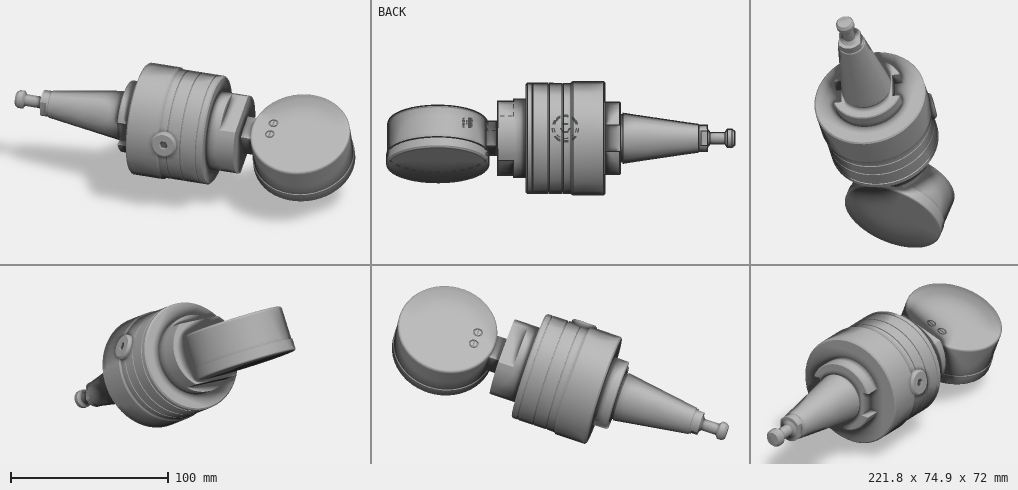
import cadquery as cq
import math


OVERALL_LENGTH = 221.8

STUD_END_X = 22.8
FLANGE_X = 73.0
HOUSING_X = 82.7
NOSE_X = 133
NOSE_END_X = 151.0
STEM_X = 152.0
GAUGE_X = 189.2

STUD_HEAD_RADIUS = 5.8
STUD_TIP_RADIUS = 4.5
STUD_HEAD_BEVEL = 1.8
STUD_HEAD_SHOULDER_X = 4.9
STUD_NECK_X = 6.2
STUD_NECK_RADIUS = 3.8
STUD_FLARE_X = 16.0
STUD_FLARE_RADIUS = 6.0
STUD_COLLAR_X = 17.5
STUD_COLLAR_RADIUS = 16.6 / 2
STUD_FLAT_OFFSET = 6.9
STUD_FLAT_LENGTH = 4.2

TAPER_SMALL_RADIUS = 8.9
TAPER_LARGE_RADIUS = 16.0
TAPER_END_X = 71.2
TAPER_TIP_CHAMFER = 0.5
RELIEF_RADIUS = 15.0
FLANGE_RADIUS = 23.0
FLANGE_CHAMFER = 0.7
NOTCH_WIDTH = 16.6
NOTCH_FLOOR_OFFSET = 16.5

HOUSING_DIAMETER = 72.0
COLLAR_RADIUS = HOUSING_DIAMETER / 2
COLLAR_END_X = 103.1
COLLAR_BEVEL_LENGTH = 1.3
SLEEVE_RADIUS = 35.0
HOUSING_CHAMFER = 0.9
GROOVE_WIDTH = 0.9
GROOVE_DEPTH = 0.7
GROOVE_CENTRES_X = (109.5, 118.5, 128.8)

PLUG_X = 108.0
PLUG_ANGLE = 10.5
PLUG_RADIUS = 16.6 / 2
PLUG_TOP_RADIUS = 7.0
PLUG_SEAT_DISTANCE = 31
PLUG_TOP_DISTANCE = 37.5
PLUG_BEVEL = 1.0
PLUG_HEX_ACROSS_FLATS = 5.0
PLUG_HEX_DEPTH = 3.3

NOSE_RADIUS = 25.0
NOSE_TILT = 18
NOSE_ACROSS_FLATS = 40
NOSE_FLAT_LENGTH = 10.2

GAUGE_TILT = 20.5
STEM_NECK_RADIUS = 6.7
STEM_SIDE = 16.9
CASE_RADIUS = 32.0
CASE_TOP = 11
CASE_BOTTOM = -11
CASE_FILLET = 1.5
BEZEL_RADIUS = OVERALL_LENGTH - GAUGE_X
BEZEL_BOTTOM = -18.5
BEZEL_FILLET = 1.0

SCREW_OFFSET_X = -18.8
SCREW_SPACING = 8.9
SCREW_HOLE_RADIUS = 3.0
SCREW_HEAD_RADIUS = 2.0
SCREW_RING_DEPTH = 1.0
SCREW_SLOT_WIDTH = 0.9
SCREW_SLOT_DEPTH = 0.9


def turned(points):
    """Revolve a profile of (x, radius) points about the main axis."""
    return cq.Workplane("XY").polyline(points).close().revolve(360, (0, 0, 0), (1, 0, 0))


def rod(start_x, end_x, radius):
    """Round bar on the main axis."""
    return cq.Workplane("YZ", origin=(start_x, 0, 0)).circle(radius).extrude(end_x - start_x)


def tilted(body, angle):
    """Turn a body about the main axis so that its +Z side leans toward -Y."""
    return body.rotate((0, 0, 0), (1, 0, 0), angle)


def make_pull_stud():
    stud = turned([
        (0, 0),
        (0, STUD_TIP_RADIUS),
        (STUD_HEAD_BEVEL, STUD_HEAD_RADIUS),
        (STUD_HEAD_SHOULDER_X, STUD_HEAD_RADIUS),
        (STUD_NECK_X, STUD_NECK_RADIUS),
        (STUD_FLARE_X, STUD_NECK_RADIUS),
        (STUD_COLLAR_X, STUD_FLARE_RADIUS),
        (STUD_COLLAR_X, STUD_COLLAR_RADIUS),
        (STUD_END_X, STUD_COLLAR_RADIUS),
        (STUD_END_X, 0),
    ])
    for side in (-1, 1):
        flat = cq.Workplane("XY").box(STUD_FLAT_LENGTH, STUD_COLLAR_RADIUS, 2 * STUD_COLLAR_RADIUS)
        flat_x = STUD_COLLAR_X + STUD_FLAT_LENGTH / 2
        flat_y = side * (STUD_FLAT_OFFSET + STUD_COLLAR_RADIUS / 2)
        stud = stud.cut(flat.translate((flat_x, flat_y, 0)))
    return stud


def make_shank():
    shank = turned([
        (STUD_END_X, 0),
        (STUD_END_X, TAPER_SMALL_RADIUS - TAPER_TIP_CHAMFER),
        (STUD_END_X + TAPER_TIP_CHAMFER, TAPER_SMALL_RADIUS),
        (TAPER_END_X, TAPER_LARGE_RADIUS),
        (TAPER_END_X, RELIEF_RADIUS),
        (FLANGE_X, RELIEF_RADIUS),
        (FLANGE_X, FLANGE_RADIUS - FLANGE_CHAMFER),
        (FLANGE_X + FLANGE_CHAMFER, FLANGE_RADIUS),
        (HOUSING_X, FLANGE_RADIUS),
        (HOUSING_X, 0),
    ])
    for side in (-1, 1):
        notch = cq.Workplane("XY").box(HOUSING_X - FLANGE_X, FLANGE_RADIUS, NOTCH_WIDTH)
        notch_x = (FLANGE_X + HOUSING_X) / 2
        notch_y = side * (NOTCH_FLOOR_OFFSET + FLANGE_RADIUS / 2)
        shank = shank.cut(notch.translate((notch_x, notch_y, 0)))
    return shank


def plug_plane(distance):
    """Plane square to the plug's line, at a distance from the main axis."""
    angle = math.radians(PLUG_ANGLE)
    direction = cq.Vector(0, -math.cos(angle), math.sin(angle))
    origin = cq.Vector(PLUG_X, 0, 0) + direction * distance
    return cq.Plane(origin=origin, xDir=(1, 0, 0), normal=direction)


def make_housing():
    housing = turned([
        (HOUSING_X, 0),
        (HOUSING_X, COLLAR_RADIUS - HOUSING_CHAMFER),
        (HOUSING_X + HOUSING_CHAMFER, COLLAR_RADIUS),
        (COLLAR_END_X, COLLAR_RADIUS),
        (COLLAR_END_X + COLLAR_BEVEL_LENGTH, SLEEVE_RADIUS),
        (NOSE_X - HOUSING_CHAMFER, SLEEVE_RADIUS),
        (NOSE_X, SLEEVE_RADIUS - HOUSING_CHAMFER),
        (NOSE_X, 0),
    ])
    for groove_x in GROOVE_CENTRES_X:
        start_x = groove_x - GROOVE_WIDTH / 2
        end_x = groove_x + GROOVE_WIDTH / 2
        floor = rod(start_x, end_x, SLEEVE_RADIUS - GROOVE_DEPTH)
        housing = housing.cut(rod(start_x, end_x, COLLAR_RADIUS).cut(floor))
    seat = cq.Workplane(plug_plane(PLUG_SEAT_DISTANCE)).circle(PLUG_RADIUS).extrude(COLLAR_RADIUS)
    return housing.cut(seat)


def make_plug():
    plug_height = PLUG_TOP_DISTANCE - PLUG_SEAT_DISTANCE
    plug = cq.Workplane(plug_plane(PLUG_SEAT_DISTANCE)).circle(PLUG_RADIUS).extrude(plug_height)
    top_edge = plug.faces(cq.selectors.DirectionMinMaxSelector(plug_plane(0).zDir, True)).edges()
    plug = top_edge.chamfer(PLUG_BEVEL, PLUG_RADIUS - PLUG_TOP_RADIUS)
    hex_corner_diameter = PLUG_HEX_ACROSS_FLATS / math.cos(math.pi / 6)
    socket = cq.Workplane(plug_plane(PLUG_TOP_DISTANCE)).polygon(6, hex_corner_diameter)
    socket = socket.extrude(-PLUG_HEX_DEPTH)
    return plug.cut(socket)


def make_nose():
    nose = rod(NOSE_X, NOSE_END_X, NOSE_RADIUS)
    for side in (-1, 1):
        flat = cq.Workplane("XY").box(NOSE_FLAT_LENGTH, 2 * NOSE_RADIUS, NOSE_RADIUS)
        flat_x = NOSE_END_X - NOSE_FLAT_LENGTH / 2
        flat_z = side * (NOSE_ACROSS_FLATS + NOSE_RADIUS) / 2
        nose = nose.cut(flat.translate((flat_x, 0, flat_z)))
    return tilted(nose, NOSE_TILT)


def make_screw_recess():
    """Ring around a screw head, together with the slot across the head."""
    ring = cq.Workplane("XY").circle(SCREW_HOLE_RADIUS).circle(SCREW_HEAD_RADIUS).extrude(-SCREW_RING_DEPTH)
    slot = cq.Workplane("XY").rect(SCREW_SLOT_WIDTH, 2 * SCREW_HEAD_RADIUS).extrude(-SCREW_SLOT_DEPTH)
    return ring.union(slot)


def make_gauge_case():
    case = cq.Workplane("XY", origin=(GAUGE_X, 0, CASE_BOTTOM)).circle(CASE_RADIUS)
    case = case.extrude(CASE_TOP - CASE_BOTTOM).faces(">Z").edges().fillet(CASE_FILLET)
    for side in (-1, 1):
        place = (GAUGE_X + SCREW_OFFSET_X, side * SCREW_SPACING / 2, CASE_TOP)
        case = case.cut(make_screw_recess().translate(place))
    neck = rod(NOSE_END_X, STEM_X, STEM_NECK_RADIUS)
    stem = cq.Workplane("YZ", origin=(STEM_X, 0, 0)).rect(STEM_SIDE, STEM_SIDE)
    stem = stem.extrude(GAUGE_X - STEM_X)
    return tilted(case.union(stem).union(neck), GAUGE_TILT)


def make_gauge_bezel():
    bezel = cq.Workplane("XY", origin=(GAUGE_X, 0, BEZEL_BOTTOM)).circle(BEZEL_RADIUS)
    bezel = bezel.extrude(CASE_BOTTOM - BEZEL_BOTTOM).faces("<Z").edges().fillet(BEZEL_FILLET)
    return tilted(bezel, GAUGE_TILT)


pull_stud = make_pull_stud()
shank = make_shank()
housing = make_housing()
plug = make_plug()
nose = make_nose()
gauge_case = make_gauge_case()
gauge_bezel = make_gauge_bezel()

result = cq.Compound.makeCompound([
    pull_stud.val(),
    shank.val(),
    housing.val(),
    plug.val(),
    nose.val(),
    gauge_case.val(),
    gauge_bezel.val(),
])